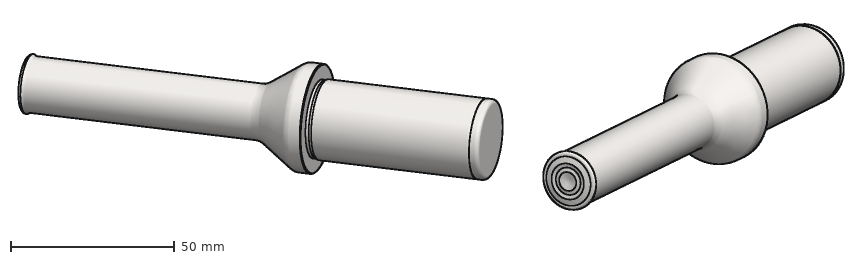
import cadquery as cq
import math

total_length = 150.0
barrel_diameter = 25.0
shaft_diameter = 17.5
collar_diameter = 34.0
barrel_radius = barrel_diameter / 2
shaft_radius = shaft_diameter / 2
collar_radius = collar_diameter / 2

rim_radius = 9.3
rim_length = 1.4
rim_flank_length = 1.2
face_radius = 7.8
crest_radius = 5.7
valley_radius = 4.4
inner_crest_radius = 3.0
serration_angle = math.radians(12)

cone_start = 77.0
cone_end = 89.2
cone_root_fillet = 5.5
cone_top_fillet = 3.2
collar_end = 94.2
collar_chamfer = 0.3

neck_radius = 24.5 / 2
neck_end = 95.2
bevel_length = 0.9
end_bevel_depth = 0.2

cap_length = 3.0
cap_fillet = 1.4
cap_start = total_length - cap_length


def arc_middle(tangent_x, tangent_y, other_x, other_y):
    """Middle of the arc to (other_x, other_y) that leaves (tangent_x, tangent_y) along X."""
    run = other_x - tangent_x
    rise = other_y - tangent_y
    radius = (run**2 + rise**2) / (2 * abs(rise))
    half_sweep = math.atan2(abs(rise), abs(run))
    middle_x = tangent_x + math.copysign(radius * math.sin(half_sweep), run)
    middle_y = tangent_y + math.copysign(radius * (1 - math.cos(half_sweep)), rise)
    return (middle_x, middle_y)


def make_pin():
    """Revolved shaft, collar and barrel as one solid."""
    slope = math.tan(serration_angle)
    face_x = (face_radius - crest_radius) * slope
    valley_x = (crest_radius - valley_radius) * slope
    inner_crest_x = valley_x - (valley_radius - inner_crest_radius) * slope
    center_x = inner_crest_x + inner_crest_radius * slope
    flank_end = rim_length + rim_flank_length
    rim_middle = arc_middle(rim_length, rim_radius, face_x, face_radius)
    flank_middle = arc_middle(flank_end, shaft_radius, rim_length, rim_radius)
    body = (
        cq.Workplane("XY")
        .polyline([
            (center_x, 0),
            (inner_crest_x, inner_crest_radius),
            (valley_x, valley_radius),
            (0, crest_radius),
            (face_x, face_radius),
        ])
        .threePointArc(rim_middle, (rim_length, rim_radius))
        .threePointArc(flank_middle, (flank_end, shaft_radius))
        .lineTo(cone_start, shaft_radius)
        .lineTo(cone_end, collar_radius)
        .lineTo(collar_end - collar_chamfer, collar_radius)
        .lineTo(collar_end, collar_radius - collar_chamfer)
        .lineTo(collar_end, neck_radius)
        .lineTo(neck_end, neck_radius)
        .lineTo(neck_end + bevel_length, barrel_radius)
        .lineTo(cap_start - bevel_length, barrel_radius)
        .lineTo(cap_start, barrel_radius - end_bevel_depth)
        .lineTo(cap_start, 0)
        .close()
        .revolve(360, (0, 0, 0), (1, 0, 0))
    )
    body = round_corner(body, cone_start, cone_root_fillet)
    return round_corner(body, cone_end, cone_top_fillet)


def round_corner(body, corner_x, radius):
    """Fillet the circular edge that lies in the plane X = corner_x."""
    reach = 0.2
    half_width = collar_diameter
    corner_edge = cq.selectors.BoxSelector(
        (corner_x - reach, -half_width, -half_width),
        (corner_x + reach, half_width, half_width),
    )
    return body.edges(corner_edge).edges("%CIRCLE").fillet(radius)


def make_cap():
    """Disc against the barrel end, with a rounded outer rim."""
    disc = cq.Workplane("YZ", origin=(cap_start, 0, 0)).circle(barrel_radius).extrude(cap_length)
    return disc.faces(">X").edges().fillet(cap_fillet)


pin = make_pin()
cap = make_cap()

result = cq.Compound.makeCompound([pin.val(), cap.val()])